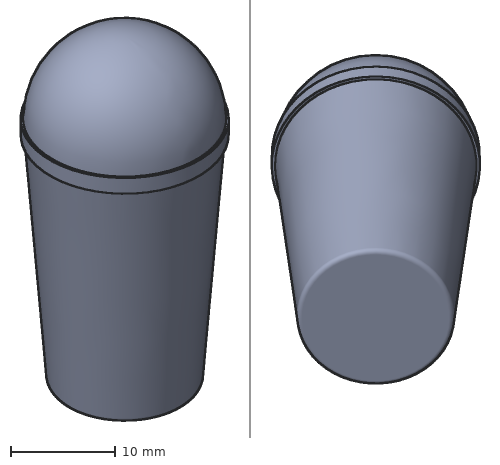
import cadquery as cq

total_height = 40.0
band_radius = 10.0

band_bottom = 28.5
band_top = 30.3

base_radius = 7.5
handle_top_radius = 9.7
base_fillet = 0.5

dome_radius = 9.75
dome_center = total_height - dome_radius


def make_handle():
    """Cone that widens upward, with a rounded lower edge."""
    profile = (
        cq.Workplane("XZ")
        .lineTo(base_radius, 0)
        .lineTo(handle_top_radius, band_bottom)
        .lineTo(0, band_bottom)
        .close()
    )
    return profile.revolve(360, (0, 0), (0, 1)).faces("<Z").edges().fillet(base_fillet)


def make_band():
    band_height = band_top - band_bottom
    return cq.Workplane("XY").workplane(offset=band_bottom).circle(band_radius).extrude(band_height)


def make_dome():
    """Part of the sphere above the top face of the band."""
    rim_radius = (dome_radius**2 - (band_top - dome_center) ** 2) ** 0.5
    mid_height = (band_top + total_height) / 2
    mid_radius = (dome_radius**2 - (mid_height - dome_center) ** 2) ** 0.5
    profile = (
        cq.Workplane("XZ")
        .moveTo(0, band_top)
        .lineTo(rim_radius, band_top)
        .threePointArc((mid_radius, mid_height), (0, total_height))
        .close()
    )
    return profile.revolve(360, (0, 0), (0, 1))


result = make_handle().union(make_band()).union(make_dome())